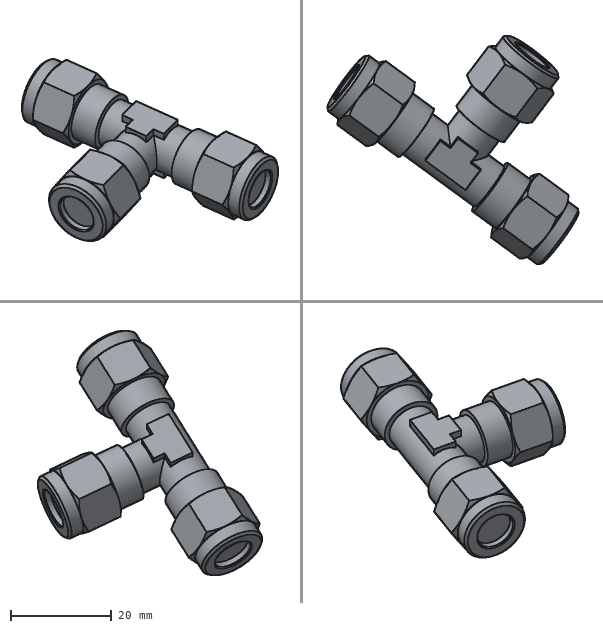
import cadquery as cq
import math

arm_reach = 26.5
nut_collar_length = 3.15
nut_hex_length = 8.55
shoulder_start = 9.0

nut_sides = 6
across_flats = 14.0
across_corners = across_flats / math.cos(math.pi / nut_sides)
collar_diameter = 13.8
collar_chamfer = 0.55
hex_chamfer_angle = 30.0

tube_diameter = 10.0
shoulder_diameter = 12.0
shoulder_taper_length = 0.15

socket_diameter = 8.0
socket_depth = 1.5
socket_chamfer = 0.25

pad_width = tube_diameter / 2
pad_reach = tube_diameter / 2
pad_height = shoulder_diameter

hex_end = arm_reach - nut_collar_length
hex_start = hex_end - nut_hex_length


def revolve_about_x(outline):
    """Turn an (axial, radial) outline around the X axis."""
    return cq.Workplane("XY").polyline(outline).close().revolve(360, (0, 0, 0), (1, 0, 0))


def make_body_arm():
    """Plain tube that steps through a shallow cone to a larger shoulder behind the nut."""
    tube_radius = tube_diameter / 2
    shoulder_radius = shoulder_diameter / 2
    return revolve_about_x([
        (0, 0),
        (0, tube_radius),
        (shoulder_start, tube_radius),
        (shoulder_start + shoulder_taper_length, shoulder_radius),
        (hex_start, shoulder_radius),
        (hex_start, 0),
    ])


def make_nut_hex():
    """Hexagon with flats facing up and down and its corners turned off at both ends."""
    nut_face = cq.Workplane("YZ", origin=(hex_start, 0, 0))
    hexagon = nut_face.polygon(nut_sides, across_corners).extrude(nut_hex_length)
    flat_radius = across_flats / 2
    corner_radius = across_corners / 2
    corner_setback = (corner_radius - flat_radius) * math.tan(math.radians(hex_chamfer_angle))
    turned_blank = revolve_about_x([
        (hex_start, 0),
        (hex_start, flat_radius),
        (hex_start + corner_setback, corner_radius),
        (hex_end - corner_setback, corner_radius),
        (hex_end, flat_radius),
        (hex_end, 0),
    ])
    return hexagon.intersect(turned_blank)


def make_nut_collar():
    """Round outer end of the nut with a chamfered rim."""
    collar = cq.Workplane("YZ", origin=(hex_end, 0, 0)).circle(collar_diameter / 2).extrude(nut_collar_length)
    return collar.faces(">X").edges().chamfer(collar_chamfer)


def make_socket():
    """Blind socket for the tube, with a chamfered mouth."""
    socket_radius = socket_diameter / 2
    floor = arm_reach - socket_depth
    return revolve_about_x([
        (floor, 0),
        (floor, socket_radius),
        (arm_reach - socket_chamfer, socket_radius),
        (arm_reach, socket_radius + socket_chamfer),
        (arm_reach, 0),
    ])


def make_arm():
    """One complete arm of the tee, pointing along +X."""
    return make_body_arm().union(make_nut_hex()).union(make_nut_collar()).cut(make_socket())


def make_pads():
    """T-shaped block whose ends stand proud of the tubes, above and below."""
    run_pad = cq.Workplane("XY").box(2 * pad_reach, pad_width, pad_height)
    branch_pad = cq.Workplane("XY").box(pad_width, pad_reach, pad_height).translate((0, -pad_reach / 2, 0))
    return run_pad.union(branch_pad)


arm = make_arm()
result = make_pads()
for arm_direction in (0, 180, 270):
    result = result.union(arm.rotate((0, 0, 0), (0, 0, 1), arm_direction))